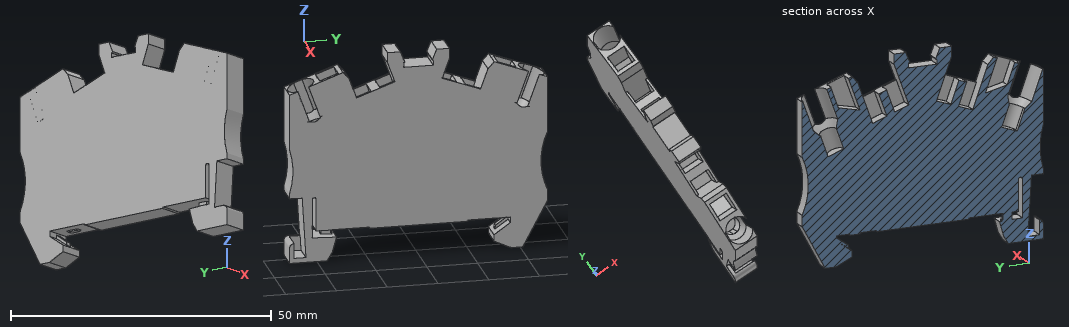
import cadquery as cq
import math

WIDTH = 5.15
HALF_LENGTH = 25.4
HEIGHT = 41.5

TILT = math.radians(20)
EAVE_Z = 34.3
RIDGE_Y = 14.9
STEP_CORNER_Y, STEP_CORNER_Z = 12.2, 32.75
STEP_WALL_TOP_Z = 36.8

CLIP_BASE_Y = 4.65
CLIP_HALF_LENGTH = 6.1
CLIP_TOP_INNER_Y = 3.55
CLIP_NOSE_Y = 2.7
CLIP_NOSE_HEIGHT = 0.25
CLIP_SLOT_HALF_LENGTH = 2.9
CLIP_SLOT_Z = 38.3

HOLLOW_TOP_Z = 23.1
BACK_HOLLOW_BOTTOM_Z = 11.45
BACK_HOLLOW_DEPTH = 1.25
FRONT_HOLLOW_BOTTOM_Z = 14.3
FRONT_HOLLOW_DEPTH = 0.65

BASE_Z = 6.25
PAD_HALF_LENGTH = 9.8
PAD_HEIGHT = 0.25

BACK_CORNER_Z = 9.1
BACK_TOE_Y, BACK_HEEL_Y = 18.2, 20.5
HOOK_TIP_Y = 14.85
HOOK_TIP_LOW_Z, HOOK_TIP_HIGH_Z = 1.6, 2.9
HOOK_ROOT_Y, HOOK_ROOT_Z = 18.1, 5.2

SPRING_TOP_Z = 13.15
SPRING_TOP_Y, SPRING_FOOT_Y = -22.9, -22.35
SLOT_INNER_Y = -20.15
SLOT_WIDTH = 0.75
SLOT_TOP_Z = 13.05
LATCH_TOP_Z = 4.9
LATCH_BEVEL_Y = -19.25
LATCH_TIP_Y, LATCH_TIP_Z = -16.1, 4.7
LATCH_KNEE_Y, LATCH_KNEE_Z = -16.95, 1.7
LATCH_TOE_Y = -18.0
LEVER_Z = 4.0
LEVER_ROUND = 0.9
LEVER_SLOT_WALL = 0.7
LEVER_SLOT_FLOOR_Z = 1.0

RIB_X, RIB_WIDTH = 2.05, 1.05
LUG_INNER_Y, LUG_OUTER_Y = 12.9, 15.5
HOOK_RIB_TIP_Y, HOOK_RIB_TIP_Z = 15.45, 3.35
HOOK_RIB_NOSE_Y, HOOK_RIB_NOSE_Z = 15.6, 4.1
HOOK_RIB_ROOT_Z = 5.9
POST_OUTER_Y, POST_INNER_Y = -18.8, -16.85
POST_TOE_Y = -16.6
POST_TOE_HEIGHT = 0.15

BORE_X, BORE_Y = 2.75, 22.7
BORE_RADIUS = 2.65
BORE_WALL = 0.25
BORE_DEPTH = 6.7
BORE_OVERRUN = 0.5
FUNNEL_DEPTH = 1.65
INNER_BORE_RADIUS = 1.75
INNER_BORE_DEPTH = 4.55
INNER_FLAT_WIDTH = 0.9

POCKET_X, POCKET_WIDTH = 0.6, 3.85
POCKET_OUTER_Y, POCKET_INNER_Y = 19.3, 15.7
POCKET_OUTER_DEPTH, POCKET_INNER_DEPTH = 4.6, 7.1

BRIDGE_X, BRIDGE_WIDTH = 0.45, 4.15
BRIDGE_LENGTH = 2.9
BRIDGE_DEPTH = 5.0


def roof_z(y):
    return EAVE_Z + (HALF_LENGTH - y) * math.tan(TILT)


def step_z(y):
    return STEP_CORNER_Z + (STEP_CORNER_Y - y) * math.tan(TILT)


def sink(y, z, depth):
    """Point reached by going down square to the roof from (y, z)."""
    return (y - depth * math.sin(TILT), z - depth * math.cos(TILT))


def prism(points, x_start, width):
    return cq.Workplane("YZ", origin=(x_start, 0, 0)).polyline(points).close().extrude(width)


def both_ends(tool):
    return tool.union(tool.mirror("XZ"))


def top_outline():
    """Upper edge of the +Y half, from the eave to the clip slot."""
    step_wall_y = STEP_CORNER_Y + (STEP_WALL_TOP_Z - STEP_CORNER_Z) * math.tan(TILT)
    clip_base_z = step_z(CLIP_BASE_Y)
    clip_bend_z = clip_base_z + (CLIP_HALF_LENGTH - CLIP_BASE_Y) / math.tan(TILT)
    return [
        (HALF_LENGTH, EAVE_Z),
        (RIDGE_Y, roof_z(RIDGE_Y)),
        (step_wall_y, STEP_WALL_TOP_Z),
        (STEP_CORNER_Y, STEP_CORNER_Z),
        (CLIP_BASE_Y, clip_base_z),
        (CLIP_HALF_LENGTH, clip_bend_z),
        (CLIP_HALF_LENGTH, HEIGHT),
        (CLIP_TOP_INNER_Y, HEIGHT),
        (CLIP_NOSE_Y, clip_bend_z),
        (CLIP_SLOT_HALF_LENGTH, clip_bend_z - CLIP_NOSE_HEIGHT),
        (CLIP_SLOT_HALF_LENGTH, CLIP_SLOT_Z),
    ]


def body():
    upper_back = top_outline()
    upper_front = [(-y, z) for y, z in reversed(upper_back)]
    slot_outer_y = SLOT_INNER_Y - SLOT_WIDTH
    slot_round = SLOT_WIDTH / 2
    front_hollow_mid_z = (HOLLOW_TOP_Z + FRONT_HOLLOW_BOTTOM_Z) / 2
    back_hollow_mid_z = (HOLLOW_TOP_Z + BACK_HOLLOW_BOTTOM_Z) / 2
    lever_arc_mid = LEVER_ROUND * (1 - math.sqrt(0.5))

    outline = cq.Workplane("YZ").polyline(upper_back + upper_front)
    outline = (
        outline.lineTo(-HALF_LENGTH, HOLLOW_TOP_Z)
        .threePointArc(
            (-HALF_LENGTH + FRONT_HOLLOW_DEPTH, front_hollow_mid_z),
            (-HALF_LENGTH, FRONT_HOLLOW_BOTTOM_Z),
        )
        .lineTo(-HALF_LENGTH, SPRING_TOP_Z)
        .lineTo(SPRING_TOP_Y, SPRING_TOP_Z)
        .lineTo(SPRING_FOOT_Y, LEVER_Z)
        .lineTo(-HALF_LENGTH + LEVER_ROUND, LEVER_Z)
        .threePointArc(
            (-HALF_LENGTH + lever_arc_mid, LEVER_Z - lever_arc_mid),
            (-HALF_LENGTH, LEVER_Z - LEVER_ROUND),
        )
        .lineTo(-HALF_LENGTH, 0)
        .lineTo(LATCH_TOE_Y, 0)
        .lineTo(LATCH_KNEE_Y, LATCH_KNEE_Z)
        .lineTo(LATCH_TIP_Y, LATCH_TIP_Z)
        .lineTo(LATCH_BEVEL_Y, LATCH_TOP_Z)
    )
    outline = (
        outline.lineTo(slot_outer_y, LATCH_TOP_Z)
        .lineTo(slot_outer_y, SLOT_TOP_Z - slot_round)
        .threePointArc(
            (SLOT_INNER_Y - slot_round, SLOT_TOP_Z),
            (SLOT_INNER_Y, SLOT_TOP_Z - slot_round),
        )
        .lineTo(SLOT_INNER_Y, BASE_Z)
        .lineTo(-PAD_HALF_LENGTH, BASE_Z)
        .lineTo(-PAD_HALF_LENGTH + PAD_HEIGHT, BASE_Z - PAD_HEIGHT)
        .lineTo(PAD_HALF_LENGTH - PAD_HEIGHT, BASE_Z - PAD_HEIGHT)
        .lineTo(PAD_HALF_LENGTH, BASE_Z)
    )
    outline = (
        outline.lineTo(HOOK_ROOT_Y, BASE_Z)
        .lineTo(HOOK_ROOT_Y, HOOK_ROOT_Z)
        .lineTo(HOOK_TIP_Y, HOOK_TIP_HIGH_Z)
        .lineTo(HOOK_TIP_Y, HOOK_TIP_LOW_Z)
        .lineTo(BACK_TOE_Y, 0)
        .lineTo(BACK_HEEL_Y, 0)
        .lineTo(HALF_LENGTH, BACK_CORNER_Z)
        .lineTo(HALF_LENGTH, BACK_HOLLOW_BOTTOM_Z)
        .threePointArc(
            (HALF_LENGTH - BACK_HOLLOW_DEPTH, back_hollow_mid_z),
            (HALF_LENGTH, HOLLOW_TOP_Z),
        )
        .close()
    )
    return outline.extrude(WIDTH)


def middle_ribs():
    """Lug under the body, rib on the fixed hook and post on the latch."""
    lug = [
        (LUG_INNER_Y, BASE_Z),
        (LUG_OUTER_Y, BASE_Z),
        (LUG_OUTER_Y - PAD_HEIGHT, BASE_Z - PAD_HEIGHT),
        (LUG_INNER_Y + PAD_HEIGHT, BASE_Z - PAD_HEIGHT),
    ]
    hook_rib = [
        (HOOK_ROOT_Y, HOOK_ROOT_Z),
        (HOOK_ROOT_Y, HOOK_RIB_ROOT_Z),
        (HOOK_RIB_NOSE_Y, HOOK_RIB_NOSE_Z),
        (HOOK_RIB_TIP_Y, HOOK_RIB_TIP_Z),
    ]
    post_toe_z = LATCH_TOP_Z + POST_TOE_HEIGHT
    post = [
        (POST_OUTER_Y, LATCH_TOP_Z),
        (POST_OUTER_Y, BASE_Z),
        (POST_INNER_Y, BASE_Z),
        (POST_INNER_Y, post_toe_z),
        (POST_TOE_Y, post_toe_z),
        (POST_TOE_Y, LATCH_TIP_Z),
        (LATCH_BEVEL_Y, LATCH_TIP_Z),
    ]
    ribs = prism(lug, RIB_X, RIB_WIDTH)
    for points in (hook_rib, post):
        ribs = ribs.union(prism(points, RIB_X, RIB_WIDTH))
    return ribs


def lever_slot():
    """Screwdriver slot between the spring arm and the rounded lip, open at the +X side."""
    lip_y = -HALF_LENGTH + LEVER_ROUND
    arm_slope = (SPRING_FOOT_Y - SPRING_TOP_Y) / (SPRING_TOP_Z - LEVER_Z)
    floor_inner_y = SPRING_FOOT_Y + arm_slope * (LEVER_Z - LEVER_SLOT_FLOOR_Z)
    points = [
        (SPRING_FOOT_Y, LEVER_Z),
        (floor_inner_y, LEVER_SLOT_FLOOR_Z),
        (lip_y, LEVER_SLOT_FLOOR_Z),
        (lip_y, LEVER_Z),
    ]
    return prism(points, LEVER_SLOT_WALL, WIDTH - LEVER_SLOT_WALL)


def wire_bore():
    """Bore square to the +Y roof: wide bore, funnel, then a narrow blind bore with one flat."""
    mouth = cq.Plane(
        origin=(BORE_X, BORE_Y, roof_z(BORE_Y)),
        xDir=(1, 0, 0),
        normal=(0, math.sin(TILT), math.cos(TILT)),
    )
    funnel_end = BORE_DEPTH + FUNNEL_DEPTH
    wide = (
        cq.Workplane(mouth)
        .workplane(offset=BORE_OVERRUN)
        .circle(BORE_RADIUS)
        .extrude(-BORE_DEPTH - BORE_OVERRUN)
    )
    funnel = (
        cq.Workplane(mouth)
        .workplane(offset=-BORE_DEPTH)
        .circle(BORE_RADIUS)
        .workplane(offset=-FUNNEL_DEPTH)
        .circle(INNER_BORE_RADIUS)
        .loft()
    )
    half_flat = INNER_FLAT_WIDTH / 2
    flat_y = math.sqrt(INNER_BORE_RADIUS**2 - half_flat**2)
    narrow = (
        cq.Workplane(mouth)
        .workplane(offset=-funnel_end)
        .moveTo(-half_flat, flat_y)
        .lineTo(half_flat, flat_y)
        .threePointArc((0, -INNER_BORE_RADIUS), (-half_flat, flat_y))
        .close()
        .extrude(-INNER_BORE_DEPTH)
    )
    side_wall = cq.Workplane("XY").box(BORE_WALL, 2 * HALF_LENGTH, HEIGHT, centered=(False, True, False))
    return wide.union(funnel).union(narrow).cut(side_wall)


def pocket(outer, inner, outer_depth, inner_depth, x_start, width):
    """Pocket with walls square to the tilted surface that holds the points outer and inner."""
    points = [outer, inner, sink(*inner, inner_depth), sink(*outer, outer_depth)]
    return prism(points, x_start, width)


def screwdriver_pocket():
    return pocket(
        (POCKET_OUTER_Y, roof_z(POCKET_OUTER_Y)),
        (POCKET_INNER_Y, roof_z(POCKET_INNER_Y)),
        POCKET_OUTER_DEPTH,
        POCKET_INNER_DEPTH,
        POCKET_X,
        POCKET_WIDTH,
    )


def bridge_pocket(outer_y):
    inner_y = outer_y - BRIDGE_LENGTH
    return pocket(
        (outer_y, step_z(outer_y)),
        (inner_y, step_z(inner_y)),
        BRIDGE_DEPTH,
        BRIDGE_DEPTH,
        BRIDGE_X,
        BRIDGE_WIDTH,
    )


result = body().union(middle_ribs()).cut(lever_slot())
cutters = [wire_bore(), screwdriver_pocket()]
for outer_y in (STEP_CORNER_Y, CLIP_BASE_Y + BRIDGE_LENGTH):
    cutters.append(bridge_pocket(outer_y))
for cutter in cutters:
    result = result.cut(both_ends(cutter))